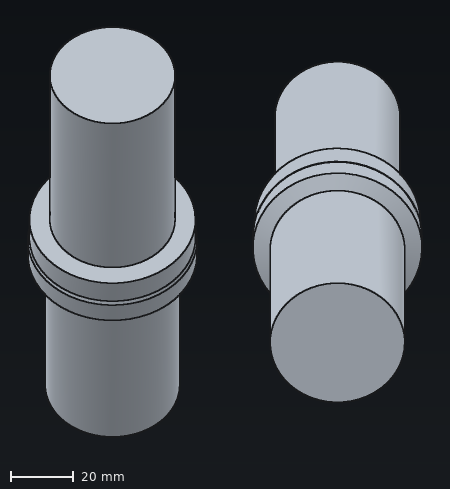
import cadquery as cq
import math

upper_shank_diameter = 40.0
lower_shank_diameter = 43.0
upper_collar_diameter = 53.0
lower_collar_diameter = 54.0

total_height = 155.0
upper_shank_length = 72.0
upper_collar_height = 9.0
lower_collar_height = 9.0

shoulder_angle = 20.0
underside_angle = 15.0

upper_shank_radius = upper_shank_diameter / 2
lower_shank_radius = lower_shank_diameter / 2
upper_collar_radius = upper_collar_diameter / 2
lower_collar_radius = lower_collar_diameter / 2

shoulder_height = (lower_collar_radius - upper_collar_radius) / math.tan(math.radians(shoulder_angle))
underside_height = (lower_collar_radius - lower_shank_radius) * math.tan(math.radians(underside_angle))

collar_top = total_height - upper_shank_length
shoulder_top = collar_top - upper_collar_height
shoulder_bottom = shoulder_top - shoulder_height
underside_top = shoulder_top - lower_collar_height
underside_bottom = underside_top - underside_height

half_profile = (
    cq.Workplane("XZ")
    .moveTo(0, 0)
    .lineTo(lower_shank_radius, 0)
    .lineTo(lower_shank_radius, underside_bottom)
    .lineTo(lower_collar_radius, underside_top)
    .lineTo(lower_collar_radius, shoulder_bottom)
    .lineTo(upper_collar_radius, shoulder_top)
    .lineTo(upper_collar_radius, collar_top)
    .lineTo(upper_shank_radius, collar_top)
    .lineTo(upper_shank_radius, total_height)
    .lineTo(0, total_height)
    .close()
)

result = half_profile.revolve(360, (0, 0), (0, 1))